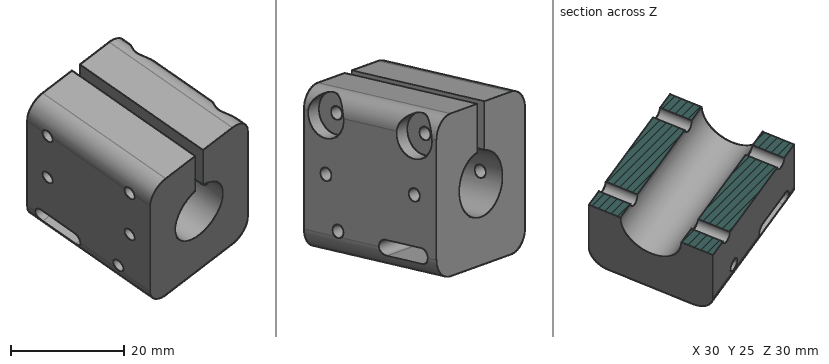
import cadquery as cq

length = 30.0
depth = 25.0
height = 30.0
corner_radius = 4.0

bore_diameter = 12.18
slit_width = 2.0

hole_diameter = 2.5
hole_spacing = 19.98
clamp_hole_z = 10.6
recess_diameter = 8.0
recess_depth = 3.0
lower_hole_x = 7.25
lower_hole_z = -10.0

slot_length = 11.0
slot_width = 3.0
slot_x = -7.5
slot_z = -11.0


def front_plane():
    """Sketch plane on the -Y face: local x is X and local y is Z."""
    return cq.Workplane("XZ", origin=(0, -depth / 2, 0))


block = cq.Workplane("XY").box(length, depth, height).edges("|X").fillet(corner_radius)

bore = cq.Workplane("YZ").circle(bore_diameter / 2).extrude(length / 2, both=True)
slit = cq.Workplane("XY").box(length, slit_width, height / 2, centered=(True, True, False))

hole_centers = [(side * hole_spacing / 2, z) for side in (-1, 1) for z in (0, clamp_hole_z)]
hole_centers.append((lower_hole_x, lower_hole_z))
holes = front_plane().pushPoints(hole_centers).circle(hole_diameter / 2).extrude(-depth)

slot = front_plane().center(slot_x, slot_z).slot2D(slot_length, slot_width).extrude(-depth)

recess_centers = [(side * hole_spacing / 2, clamp_hole_z) for side in (-1, 1)]
recesses = (
    cq.Workplane("XZ", origin=(0, depth / 2, 0))
    .pushPoints(recess_centers)
    .circle(recess_diameter / 2)
    .extrude(recess_depth)
)

result = block.cut(bore).cut(slit).cut(holes).cut(slot).cut(recesses)